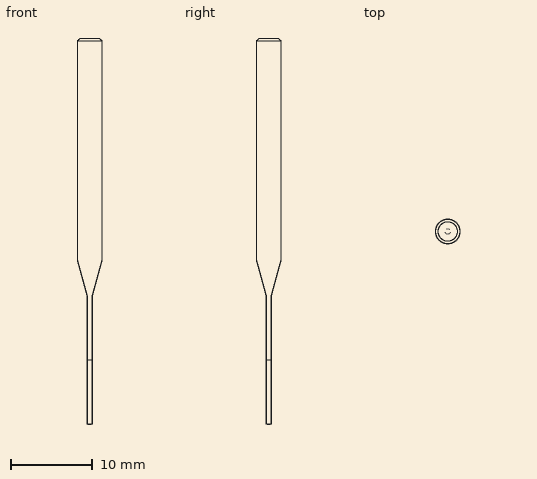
import cadquery as cq

overall_length = 47.15
shank_diameter = 3.0
shank_chamfer = 0.35
tool_diameter = 0.65
point_height = 0.1
cutter_length = 7.9
neck_top = 15.75
taper_top = 20.05

shank_radius = shank_diameter / 2
tool_radius = tool_diameter / 2


def make_holder():
    """Chamfered shank, conical taper and slim neck, turned as one body."""
    return (
        cq.Workplane("XZ")
        .moveTo(0, cutter_length)
        .lineTo(tool_radius, cutter_length)
        .lineTo(tool_radius, neck_top)
        .lineTo(shank_radius, taper_top)
        .lineTo(shank_radius, overall_length - shank_chamfer)
        .lineTo(shank_radius - shank_chamfer, overall_length)
        .lineTo(0, overall_length)
        .close()
        .revolve(360, (0, 0, 0), (0, 1, 0))
    )


def make_cutter():
    """Cylindrical cutting end with a shallow conical point, butted against the neck."""
    return (
        cq.Workplane("XZ")
        .moveTo(0, 0)
        .lineTo(tool_radius, point_height)
        .lineTo(tool_radius, cutter_length)
        .lineTo(0, cutter_length)
        .close()
        .revolve(360, (0, 0, 0), (0, 1, 0))
    )


holder = make_holder()
cutter = make_cutter()

result = cq.Compound.makeCompound([holder.val(), cutter.val()])